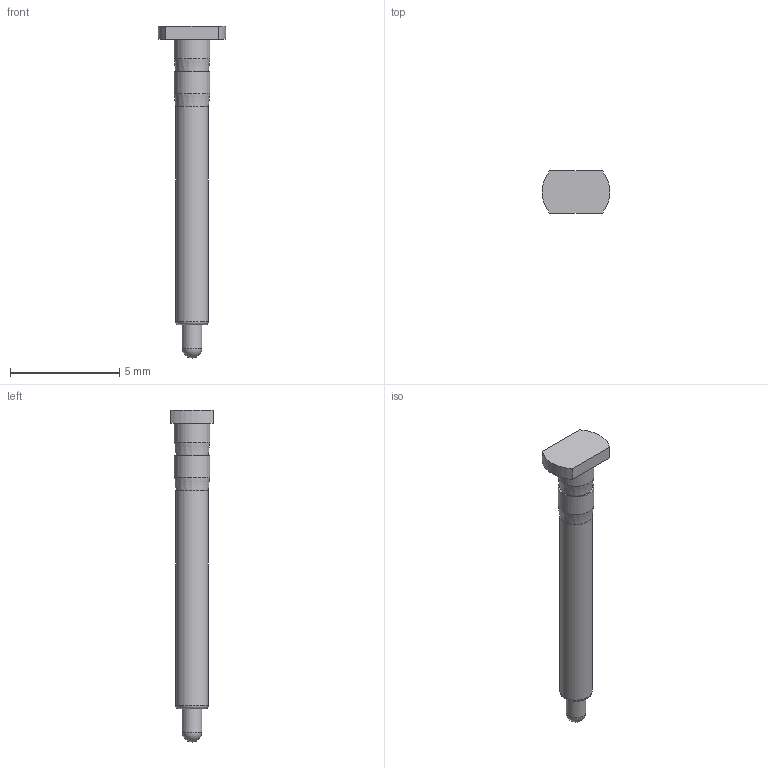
import cadquery as cq
import math

head_diameter = 3.1
head_across_flats = 1.95
head_thickness = 0.6

collar_radius = 1.63 / 2
body_radius = 1.5 / 2
pin_radius = 0.9 / 2

overall_length = 15.22
upper_collar_length = 0.9
lower_collar_length = 1.0
taper_length = 0.6
pin_length = 1.52
body_edge_radius = 0.15

upper_taper_top = -upper_collar_length
lower_collar_top = upper_taper_top - taper_length
lower_taper_top = lower_collar_top - lower_collar_length
body_top = lower_taper_top - taper_length
tip = head_thickness - overall_length
body_bottom = tip + pin_length
dome_start = tip + pin_radius


def make_head():
    disc = cq.Workplane("XY").circle(head_diameter / 2).extrude(head_thickness)
    between_flats = cq.Workplane("XY").rect(head_diameter, head_across_flats).extrude(head_thickness)
    return disc.intersect(between_flats)


def make_stem():
    """Revolve the collars, tapers, rounded body edge and domed pin about Z."""
    diagonal = math.sqrt(0.5)
    edge_center_radius = body_radius - body_edge_radius
    edge_center_z = body_bottom + body_edge_radius
    edge_middle = (
        edge_center_radius + body_edge_radius * diagonal,
        edge_center_z - body_edge_radius * diagonal,
    )
    dome_middle = (pin_radius * diagonal, dome_start - pin_radius * diagonal)
    half_profile = (
        cq.Workplane("XZ")
        .moveTo(0, 0)
        .lineTo(collar_radius, 0)
        .lineTo(collar_radius, upper_taper_top)
        .lineTo(body_radius, lower_collar_top)
        .lineTo(collar_radius, lower_collar_top)
        .lineTo(collar_radius, lower_taper_top)
        .lineTo(body_radius, body_top)
        .lineTo(body_radius, edge_center_z)
        .threePointArc(edge_middle, (edge_center_radius, body_bottom))
        .lineTo(pin_radius, body_bottom)
        .lineTo(pin_radius, dome_start)
        .threePointArc(dome_middle, (0, tip))
        .close()
    )
    return half_profile.revolve(360, (0, 0, 0), (0, 1, 0))


result = make_head().union(make_stem())